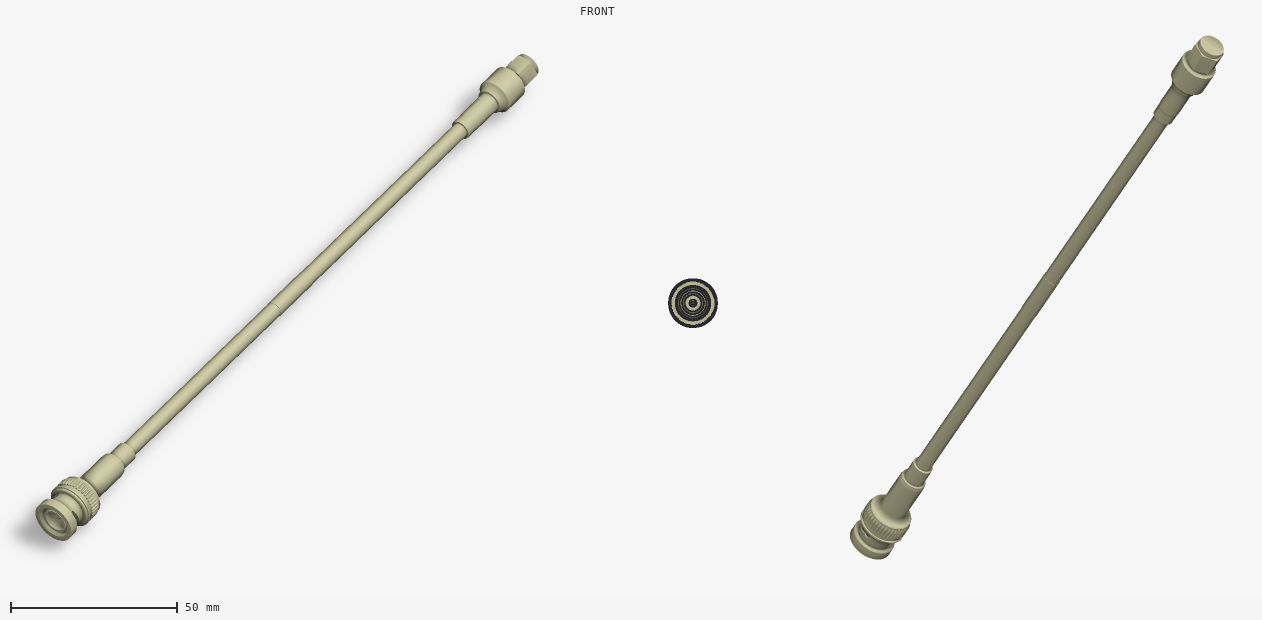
import cadquery as cq
import math


LENGTH = 236.5
FLANGE_BACK = 3.0
GRIP_FRONT = 7.5
GRIP_BACK = 14.7
BNC_TUBE_END = 30.3
BNC_SHRINK_END = 36.7
LABEL_START = 110.0
LABEL_END = 125.8
SMA_SHRINK_END = 202.7
SMA_TUBE_END = 206.2
SMA_BODY_BACK = 217.1
SMA_BODY_FRONT = 227.5

CABLE_RADIUS = 2.48
LABEL_WALL = 0.12
LABEL_RADIUS = CABLE_RADIUS + LABEL_WALL
SHRINK_RADIUS = 3.2

GRIP_RADIUS = 7.21
FLANGE_RADIUS = 6.75
BARREL_RADIUS = 5.5
BARREL_BORE_RADIUS = 4.7
BORE_LEAD_IN = 0.5
EDGE_BEVEL = 0.2
GRIP_STEP_LENGTH = 0.7
KNURL_RUNOUT = 1.2
GRIP_LIP_LENGTH = 0.7
RIM_LENGTH = 0.5
RIM_GROOVE_WIDTH = 1.5
BACK_WALL = 2.4
KNURL_COUNT = 40
KNURL_DEPTH = 0.5

SLOT_COUNT = 2
SLOT_WIDTH = 1.2
SLOT_FRONT = 4.0
SLOT_RISE = 2.1
SLOT_SWEEP = 90.0
SLOT_START_ANGLE = 135.0
LATCH_HOLE_DIAMETER = 2.1

NECK_RADIUS = 4.0
FLARE_FILLET = 1.7
BNC_TUBE_RADIUS = 4.15
TUBE_CHAMFER_LENGTH = 1.2
TUBE_CHAMFER_DEPTH = 0.2
SOCKET_RADIUS = 3.3
SOCKET_DEPTH = 9.5
BODY_RECESS = 0.7
INSULATOR_RADIUS = 2.48
INSULATOR_FRONT = 4.7
PIN_RADIUS = 1.06
PIN_TIP_RADIUS = 0.5
PIN_TIP_LENGTH = 1.2
PIN_FRONT = 2.4

SMA_BODY_RADIUS = 5.55
SMA_ROUND_LENGTH = 2.5
SMA_ROUND_END_RADIUS = 4.0
SMA_ROUND_BULGE = 0.35
SMA_TUBE_RADIUS = 3.3
SMA_TUBE_CHAMFER_LENGTH = 0.7
SMA_TUBE_CHAMFER_DEPTH = 0.12
HEX_ACROSS_FLATS = 8.3
HEX_END_RADIUS = 3.9
HEX_FRONT_COLLAR = 1.7
HEX_BACK_COLLAR = 1.0


def turned(points):
    """Revolve a closed (radius, y) outline about the Y axis."""
    return cq.Workplane("XY").polyline(points).close().revolve(360, (0, 0), (0, 1))


def cylinder(radius, start, end):
    return turned([(0, start), (radius, start), (radius, end), (0, end)])


def sleeve(inner, outer, start, end):
    return turned([(inner, start), (outer, start), (outer, end), (inner, end)])


def make_bayonet_slot():
    """Helical slot through the barrel wall, ending in a round latch hole."""
    mid_radius = (BARREL_RADIUS + BARREL_BORE_RADIUS) / 2
    depth = 2 * (BARREL_RADIUS - BARREL_BORE_RADIUS)
    path = cq.Wire.makeHelix(SLOT_RISE * 360 / SLOT_SWEEP, SLOT_RISE, mid_radius)
    groove = (
        cq.Workplane("XZ")
        .center(mid_radius, 0)
        .rect(depth, SLOT_WIDTH)
        .sweep(cq.Workplane(obj=path), isFrenet=True)
    )
    hole = (
        cq.Workplane("YZ", origin=(mid_radius - depth / 2, 0, 0))
        .circle(LATCH_HOLE_DIAMETER / 2)
        .extrude(depth)
        .rotate((0, 0, 0), (0, 0, 1), SLOT_SWEEP)
        .translate((0, 0, SLOT_RISE))
    )
    slot = groove.union(hole).rotate((0, 0, 0), (0, 0, 1), SLOT_START_ANGLE)
    return slot.rotate((0, 0, 0), (1, 0, 0), -90).translate((0, SLOT_FRONT, 0))


def make_knurl(start, end):
    """Ring of flat-topped teeth parallel to the axis, fading out at the back."""
    quarter_pitch = math.radians(360 / KNURL_COUNT / 4)
    root_radius = GRIP_RADIUS - KNURL_DEPTH
    outline = []
    for i in range(KNURL_COUNT):
        for quarter, radius in enumerate((GRIP_RADIUS, GRIP_RADIUS, root_radius, root_radius)):
            angle = (4 * i + quarter) * quarter_pitch
            outline.append((radius * math.cos(angle), radius * math.sin(angle)))
    teeth = (
        cq.Workplane("XZ", origin=(0, end, 0))
        .polyline(outline)
        .close()
        .circle(BARREL_RADIUS)
        .extrude(end - start)
    )
    envelope = turned([
        (0, start),
        (GRIP_RADIUS, start),
        (GRIP_RADIUS, end - KNURL_RUNOUT),
        (root_radius, end),
        (0, end),
    ])
    return teeth.intersect(envelope)


def make_coupling_nut():
    rim_front = GRIP_FRONT + GRIP_LIP_LENGTH
    rim_back = rim_front + RIM_LENGTH
    knurl_front = rim_back + RIM_GROOVE_WIDTH
    knurl_back = GRIP_BACK - GRIP_STEP_LENGTH
    nut = turned([
        (BARREL_BORE_RADIUS + BORE_LEAD_IN, 0),
        (FLANGE_RADIUS, 0),
        (FLANGE_RADIUS, FLANGE_BACK - EDGE_BEVEL),
        (FLANGE_RADIUS - EDGE_BEVEL, FLANGE_BACK),
        (BARREL_RADIUS, FLANGE_BACK),
        (BARREL_RADIUS, GRIP_FRONT),
        (FLANGE_RADIUS - EDGE_BEVEL, GRIP_FRONT),
        (FLANGE_RADIUS, GRIP_FRONT + EDGE_BEVEL),
        (FLANGE_RADIUS, rim_front),
        (GRIP_RADIUS, rim_front),
        (GRIP_RADIUS, rim_back),
        (FLANGE_RADIUS, rim_back),
        (FLANGE_RADIUS, GRIP_BACK - EDGE_BEVEL),
        (FLANGE_RADIUS - EDGE_BEVEL, GRIP_BACK),
        (NECK_RADIUS, GRIP_BACK),
        (NECK_RADIUS, GRIP_BACK - BACK_WALL),
        (BARREL_BORE_RADIUS, GRIP_BACK - BACK_WALL),
        (BARREL_BORE_RADIUS, BORE_LEAD_IN),
    ])
    nut = nut.union(make_knurl(knurl_front, knurl_back))
    slot = make_bayonet_slot()
    for i in range(SLOT_COUNT):
        nut = nut.cut(slot.rotate((0, 0, 0), (0, 1, 0), i * 360 / SLOT_COUNT))
    return nut


def make_bnc_body():
    """Rear crimp tube, flare and the contact sleeve inside the coupling nut."""
    flare_radius = BNC_TUBE_RADIUS + FLARE_FILLET
    flare_back = GRIP_BACK + FLARE_FILLET
    arc_inset = FLARE_FILLET * (1 - math.sqrt(0.5))
    return (
        cq.Workplane("XY")
        .moveTo(0, SOCKET_DEPTH)
        .lineTo(SOCKET_RADIUS, SOCKET_DEPTH)
        .lineTo(SOCKET_RADIUS, BODY_RECESS)
        .lineTo(NECK_RADIUS, BODY_RECESS)
        .lineTo(NECK_RADIUS, GRIP_BACK)
        .lineTo(flare_radius, GRIP_BACK)
        .threePointArc(
            (BNC_TUBE_RADIUS + arc_inset, GRIP_BACK + arc_inset),
            (BNC_TUBE_RADIUS, flare_back),
        )
        .lineTo(BNC_TUBE_RADIUS, BNC_TUBE_END - TUBE_CHAMFER_LENGTH)
        .lineTo(BNC_TUBE_RADIUS - TUBE_CHAMFER_DEPTH, BNC_TUBE_END)
        .lineTo(0, BNC_TUBE_END)
        .close()
        .revolve(360, (0, 0), (0, 1))
    )


def make_insulator():
    return sleeve(PIN_RADIUS, INSULATOR_RADIUS, INSULATOR_FRONT, SOCKET_DEPTH)


def make_pin():
    return turned([
        (0, PIN_FRONT),
        (PIN_TIP_RADIUS, PIN_FRONT),
        (PIN_RADIUS, PIN_FRONT + PIN_TIP_LENGTH),
        (PIN_RADIUS, SOCKET_DEPTH),
        (0, SOCKET_DEPTH),
    ])


def make_sma_body():
    """Rear crimp tube and a wider barrel whose back end is rounded off."""
    round_front = SMA_BODY_BACK + SMA_ROUND_LENGTH
    return (
        cq.Workplane("XY")
        .moveTo(0, SMA_TUBE_END)
        .lineTo(SMA_TUBE_RADIUS - SMA_TUBE_CHAMFER_DEPTH, SMA_TUBE_END)
        .lineTo(SMA_TUBE_RADIUS, SMA_TUBE_END + SMA_TUBE_CHAMFER_LENGTH)
        .lineTo(SMA_TUBE_RADIUS, SMA_BODY_BACK)
        .lineTo(SMA_ROUND_END_RADIUS, SMA_BODY_BACK)
        .sagittaArc((SMA_BODY_RADIUS, round_front), SMA_ROUND_BULGE)
        .lineTo(SMA_BODY_RADIUS, SMA_BODY_FRONT)
        .lineTo(0, SMA_BODY_FRONT)
        .close()
        .revolve(360, (0, 0), (0, 1))
    )


def make_hex_nut():
    """Hexagon with two flats square to Z and a round collar at each end."""
    across_corners = HEX_ACROSS_FLATS / math.cos(math.radians(30))
    hex_back = SMA_BODY_FRONT + HEX_BACK_COLLAR
    hex_front = LENGTH - HEX_FRONT_COLLAR
    hexagon = (
        cq.Workplane("XZ", origin=(0, hex_front, 0))
        .polygon(6, across_corners)
        .extrude(hex_front - hex_back)
    )
    return hexagon.union(cylinder(HEX_END_RADIUS, SMA_BODY_FRONT, LENGTH))


cable = cylinder(CABLE_RADIUS, BNC_TUBE_END, SMA_TUBE_END)
label = sleeve(CABLE_RADIUS, LABEL_RADIUS, LABEL_START, LABEL_END)
bnc_shrink = sleeve(CABLE_RADIUS, SHRINK_RADIUS, BNC_TUBE_END, BNC_SHRINK_END)
sma_shrink = sleeve(CABLE_RADIUS, SHRINK_RADIUS, SMA_SHRINK_END, SMA_TUBE_END)
coupling_nut = make_coupling_nut()
bnc_body = make_bnc_body()
insulator = make_insulator()
pin = make_pin()
sma_body = make_sma_body()
hex_nut = make_hex_nut()

result = cq.Compound.makeCompound([
    cable.val(),
    label.val(),
    bnc_shrink.val(),
    sma_shrink.val(),
    coupling_nut.solids().val(),
    bnc_body.val(),
    insulator.val(),
    pin.val(),
    sma_body.val(),
    hex_nut.solids().val(),
])